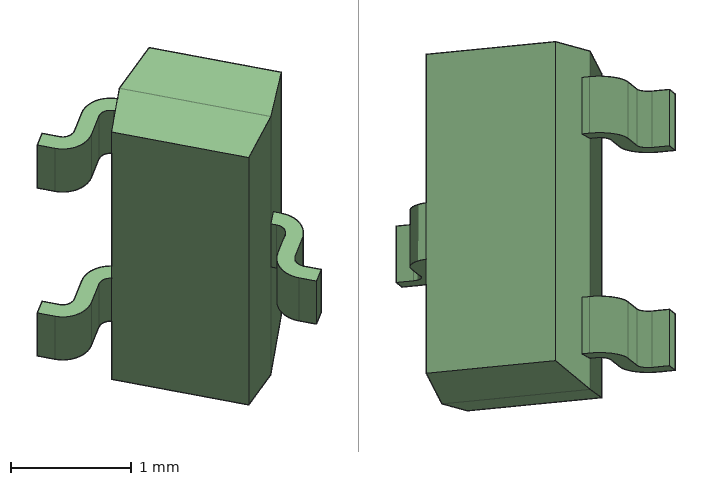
import cadquery as cq
import math

housing_length = 2.92
housing_width = 1.302
housing_back = 1.2
housing_front = 0.102
parting_plane = 0.57
draft_angle = 7.5

lead_span = 2.4
lead_height = 0.72
lead_thickness = 0.15
lead_width = 0.488
inner_radius = 0.1
outer_radius = inner_radius + lead_thickness
web_offset = 0.25
lead_pitch = 1.898


def drafted_half(depth):
    """Half of the housing, narrowing from the parting plane; the sign of depth is its Y direction."""
    inset = 2 * abs(depth) * math.tan(math.radians(draft_angle))
    return (
        cq.Workplane("XZ", origin=(0, parting_plane, 0))
        .rect(housing_width, housing_length)
        .workplane(offset=-depth)
        .rect(housing_width - inset, housing_length - inset)
        .loft(ruled=True)
    )


def make_housing():
    back_half = drafted_half(housing_back - parting_plane)
    front_half = drafted_half(housing_front - parting_plane)
    return back_half.union(front_half)


def make_lead(side, center_z):
    """Lead on the -X (side = -1) or +X (side = 1) flank, ending flush on the housing wall."""
    tip = -lead_span / 2
    web_outer = tip + web_offset
    web_inner = web_outer + lead_thickness
    foot_bend_x = web_outer - inner_radius
    shoulder_bend_x = web_inner + inner_radius
    shoulder_bend_y = lead_height - outer_radius
    diagonal = math.sqrt(0.5)

    def bend_middle(center_x, center_y, radius, direction):
        """Middle of a quarter bend; direction is -1 for the upper-left and 1 for the lower-right."""
        reach = direction * radius * diagonal
        return (center_x + reach, center_y - reach)

    lead = (
        cq.Workplane("XY", origin=(0, 0, center_z - lead_width / 2))
        .moveTo(tip, 0)
        .lineTo(foot_bend_x, 0)
        .threePointArc(
            bend_middle(foot_bend_x, outer_radius, outer_radius, 1),
            (web_inner, outer_radius),
        )
        .lineTo(web_inner, shoulder_bend_y)
        .threePointArc(
            bend_middle(shoulder_bend_x, shoulder_bend_y, inner_radius, -1),
            (shoulder_bend_x, lead_height - lead_thickness),
        )
        .lineTo(0, lead_height - lead_thickness)
        .lineTo(0, lead_height)
        .lineTo(shoulder_bend_x, lead_height)
        .threePointArc(
            bend_middle(shoulder_bend_x, shoulder_bend_y, outer_radius, -1),
            (web_outer, shoulder_bend_y),
        )
        .lineTo(web_outer, outer_radius)
        .threePointArc(
            bend_middle(foot_bend_x, outer_radius, inner_radius, 1),
            (foot_bend_x, lead_thickness),
        )
        .lineTo(tip, lead_thickness)
        .close()
        .extrude(lead_width)
    )
    if side > 0:
        lead = lead.mirror("YZ")
    return lead.cut(housing).solids()


housing = make_housing()

lead_places = [(-1, -lead_pitch / 2), (-1, lead_pitch / 2), (1, 0)]
leads = [make_lead(side, center_z).val() for side, center_z in lead_places]

result = cq.Compound.makeCompound([housing.val(), *leads])